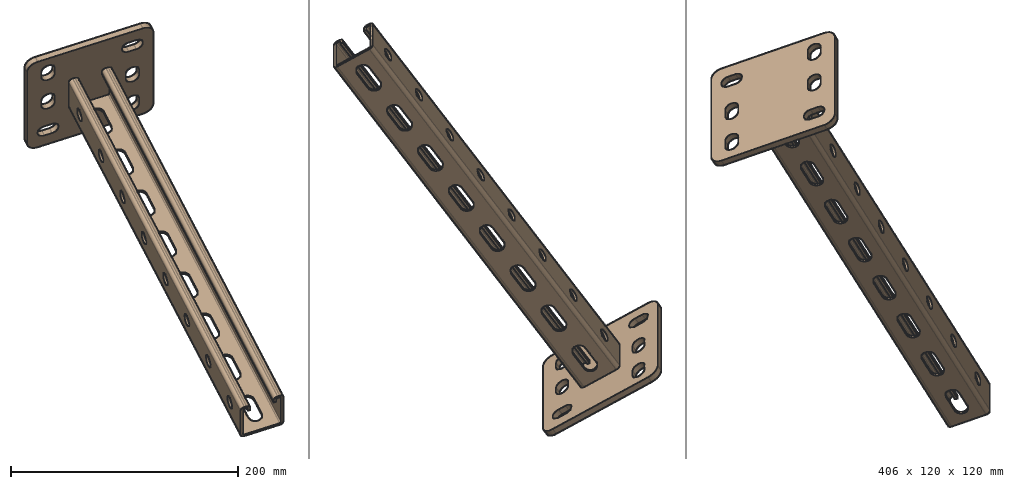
import cadquery as cq

total_length = 406.0

plate_size = 120.0
plate_thickness = 6.0
plate_corner_radius = 10.0
plate_slot_length = 20.0
plate_slot_width = 12.5
plate_slot_offset = plate_size / 3

channel_length = total_length - plate_thickness
channel_width = 41.0
channel_height = 41.0
channel_lift = 0.5
sheet_thickness = 2.5
bend_radius = 3.75
lip_depth = 7.0
lip_flat = 2.0
lip_width = 2 * bend_radius + lip_flat
mouth_width = channel_width - 2 * lip_width

perforation_count = 8
perforation_pitch = channel_length / perforation_count
base_slot_length = 30.0
base_slot_width = 12.5
wall_hole_width = 10.5
wall_hole_height = 12.0

ALONG_Y = 0
ALONG_Z = 90
plate_slots = [
    (1, 1, ALONG_Y),
    (1, 0, ALONG_Z),
    (1, -1, ALONG_Z),
    (-1, 1, ALONG_Z),
    (-1, 0, ALONG_Z),
    (-1, -1, ALONG_Y),
]


def make_plate():
    """Square plate with rounded corners and six fixing slots."""
    plate = (
        cq.Workplane("YZ")
        .rect(plate_size, plate_size)
        .extrude(plate_thickness)
        .edges("|X")
        .fillet(plate_corner_radius)
    )
    for side, row, direction in plate_slots:
        slot = (
            cq.Workplane("YZ")
            .center(side * plate_slot_offset, row * plate_slot_offset)
            .slot2D(plate_slot_length, plate_slot_width, direction)
            .extrude(plate_thickness)
        )
        plate = plate.cut(slot)
    return plate


def channel_bar(width, height, corner_radius):
    """Solid bar along the channel, centred on its axis, with rounded long edges."""
    return (
        cq.Workplane("YZ", origin=(plate_thickness, 0, 0))
        .rect(width, height)
        .extrude(channel_length)
        .edges("|X")
        .fillet(corner_radius)
    )


def make_lip():
    """Lip on the +Y side: bent over the top and hanging down beside the mouth."""
    inner_bend_radius = bend_radius - sheet_thickness
    top = channel_height / 2
    lip_bottom = top - lip_depth
    mouth_edge = mouth_width / 2
    inner_face = mouth_edge + sheet_thickness
    bend_center_y = mouth_edge + bend_radius
    bend_center_z = top - bend_radius
    joint_y = mouth_edge + lip_width / 2
    return (
        cq.Workplane("YZ", origin=(plate_thickness, 0, 0))
        .moveTo(joint_y, top)
        .lineTo(bend_center_y, top)
        .tangentArcPoint((mouth_edge, bend_center_z), relative=False)
        .lineTo(mouth_edge, lip_bottom)
        .lineTo(inner_face, lip_bottom)
        .lineTo(inner_face, bend_center_z)
        .tangentArcPoint((bend_center_y, bend_center_z + inner_bend_radius), relative=False)
        .lineTo(joint_y, top - sheet_thickness)
        .close()
        .extrude(channel_length)
    )


def make_channel():
    """Perforated C channel on the inner face of the plate, centred on the X axis."""
    tube = channel_bar(channel_width, channel_height, bend_radius).cut(
        channel_bar(
            channel_width - 2 * sheet_thickness,
            channel_height - 2 * sheet_thickness,
            bend_radius - sheet_thickness,
        )
    )
    opening = cq.Workplane("XY", origin=(plate_thickness, 0, 0)).box(
        channel_length,
        mouth_width + lip_width,
        channel_height / 2,
        centered=(False, True, False),
    )
    lip = make_lip()
    channel = tube.cut(opening).union(lip).union(lip.mirror("XZ"), clean=True)

    for index in range(perforation_count):
        position = plate_thickness + (index + 0.5) * perforation_pitch
        base_slot = (
            cq.Workplane("XY", origin=(position, 0, -channel_height / 2))
            .slot2D(base_slot_length, base_slot_width)
            .extrude(sheet_thickness)
        )
        wall_holes = (
            cq.Workplane("XZ", origin=(position, 0, 0))
            .slot2D(wall_hole_height, wall_hole_width, ALONG_Z)
            .extrude(channel_width / 2, both=True)
        )
        channel = channel.cut(base_slot).cut(wall_holes)
    return channel


plate = make_plate()
channel = make_channel().translate((0, 0, channel_lift))
result = cq.Compound.makeCompound([plate.val(), channel.val()])